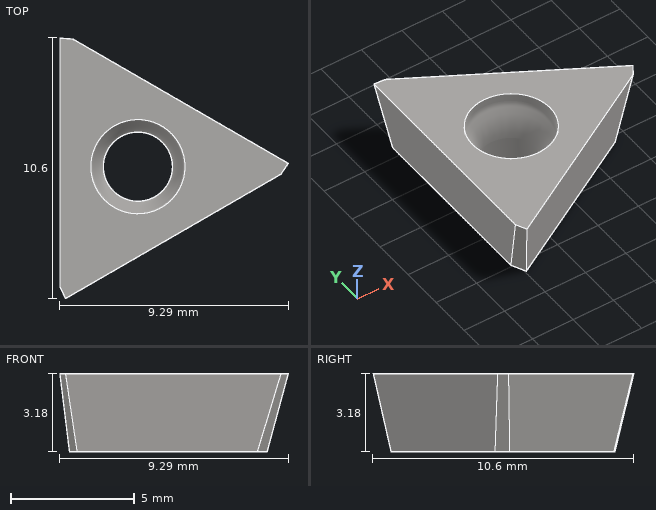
import cadquery as cq
import math

inscribed_diameter = 6.35
thickness = 3.18
corner_count = 3

first_side_angle = 180.0
side_relief = 7.0

first_flat_angle = 86.0
flat_distance = 4.994
flat_relief = 13.1

bore_radius = 2.8 / 2
recess_radius = 1.915
recess_floor_radius = 1.885
recess_depth = 0.386
seat_radius = 1.80
seat_start_depth = 0.64
seat_end_depth = 2.0


def line_crossing(angle_a, distance_a, angle_b, distance_b):
    """Crossing of two lines, each given by its normal angle and distance from the axis."""
    a = math.radians(angle_a)
    b = math.radians(angle_b)
    span = math.sin(b - a)
    x = (distance_a * math.sin(b) - distance_b * math.sin(a)) / span
    y = (distance_b * math.cos(a) - distance_a * math.cos(b)) / span
    return (x, y)


def outline(depth):
    """Six-sided outline at a depth below the top face, drawn in by the relief angles."""
    side = inscribed_diameter / 2 - depth * math.tan(math.radians(side_relief))
    flat = flat_distance - depth * math.tan(math.radians(flat_relief))
    pitch = 360.0 / corner_count
    points = []
    for i in range(corner_count):
        flat_angle = first_flat_angle + i * pitch
        next_side = first_side_angle + i * pitch
        previous_side = next_side - pitch
        points.append(line_crossing(previous_side, side, flat_angle, flat))
        points.append(line_crossing(flat_angle, flat, next_side, side))
    return points


def insert_body():
    """Solid with planar sides tapering from the top face down to the bottom face."""
    return (
        cq.Workplane("XY")
        .polyline(outline(thickness)).close()
        .workplane(offset=thickness)
        .polyline(outline(0)).close()
        .loft(ruled=True)
    )


def screw_hole():
    """Revolved cutter: slightly tapered recess, small fillet, rounded seat and through bore."""
    recess_z = thickness - recess_depth
    seat_z = thickness - seat_start_depth
    bore_z = thickness - seat_end_depth

    seat_drop = seat_z - bore_z
    seat_step = seat_radius - bore_radius
    seat_arc = (seat_drop ** 2 + seat_step ** 2) / (2 * seat_step)
    half_sweep = math.asin(seat_drop / seat_arc) / 2
    seat_mid = (
        bore_radius + seat_arc * (1 - math.cos(half_sweep)),
        bore_z + seat_arc * math.sin(half_sweep),
    )
    return (
        cq.Workplane("XZ")
        .moveTo(0, 0)
        .lineTo(bore_radius, 0)
        .lineTo(bore_radius, bore_z)
        .threePointArc(seat_mid, (seat_radius, seat_z))
        .tangentArcPoint((recess_floor_radius, recess_z), relative=False)
        .lineTo(recess_radius, thickness)
        .lineTo(0, thickness)
        .close()
        .revolve(360, (0, 0, 0), (0, 1, 0))
    )


result = insert_body().cut(screw_hole())